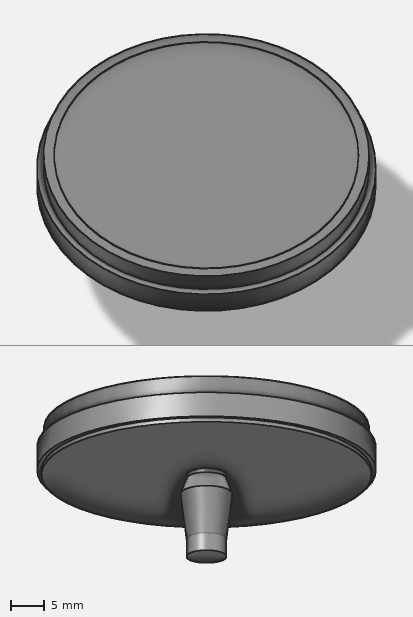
import cadquery as cq

height = 20.4
flange_diameter = 51.0
rim_diameter = 48.95
base_diameter = 49.65
rim_height = 2.95
flange_thickness = 3.75
base_thickness = 0.65

recess_diameter = 45.8
recess_depth = 0.1

stem_diameter = 6.0
barb_diameter = 7.8
neck_length = 0.6
barb_flare_length = 2.45
tip_length = 2.8

flange_top = -rim_height
flange_bottom = flange_top - flange_thickness
base_bottom = flange_bottom - base_thickness
neck_bottom = base_bottom - neck_length
barb_level = neck_bottom - barb_flare_length
stem_bottom = -height
tip_top = stem_bottom + tip_length

profile = [
    (0, -recess_depth),
    (recess_diameter / 2, -recess_depth),
    (recess_diameter / 2, 0),
    (rim_diameter / 2, 0),
    (rim_diameter / 2, flange_top),
    (flange_diameter / 2, flange_top),
    (flange_diameter / 2, flange_bottom),
    (base_diameter / 2, flange_bottom),
    (base_diameter / 2, base_bottom),
    (stem_diameter / 2, base_bottom),
    (stem_diameter / 2, neck_bottom),
    (barb_diameter / 2, barb_level),
    (stem_diameter / 2, tip_top),
    (stem_diameter / 2, stem_bottom),
    (0, stem_bottom),
]

result = cq.Workplane("XZ").polyline(profile).close().revolve(360, (0, 0), (0, 1))